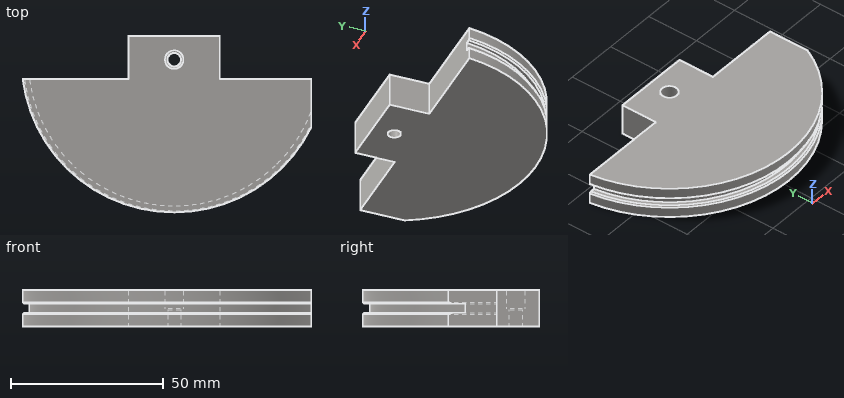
import cadquery as cq
import math

thickness = 12.0
rim_radius = 50.1
overall_length = 94.6
overall_depth = 57.8
tab_width = 30.0
tab_length = 14.0

groove_depth = 2.2
groove_width = 2.9
groove_chamfer = 0.6

wide_diameter = 6.1
narrow_diameter = 4.4
wide_depth = thickness / 2
shoulder_cone_angle = 118.0

tab_end_y = overall_depth - rim_radius
back_y = tab_end_y - tab_length
left_x = -math.sqrt(rim_radius**2 - back_y**2)
right_x = left_x + overall_length
right_corner_y = -math.sqrt(rim_radius**2 - right_x**2)


def make_plate():
    """Disc segment with a flat right end and a rectangular tab at the back."""
    return (
        cq.Workplane("XY")
        .workplane(offset=-thickness / 2)
        .moveTo(left_x, back_y)
        .threePointArc((0, -rim_radius), (right_x, right_corner_y))
        .lineTo(right_x, back_y)
        .lineTo(tab_width / 2, back_y)
        .lineTo(tab_width / 2, tab_end_y)
        .lineTo(-tab_width / 2, tab_end_y)
        .lineTo(-tab_width / 2, back_y)
        .close()
        .extrude(thickness)
    )


def make_groove():
    """Ring with a rectangular section that flares into chamfers at the rim."""
    floor_radius = rim_radius - groove_depth
    chamfer_radius = rim_radius - groove_chamfer
    inner_z = groove_width / 2
    outer_z = inner_z + groove_chamfer
    clear_radius = rim_radius + groove_depth
    return (
        cq.Workplane("XZ")
        .moveTo(floor_radius, -inner_z)
        .lineTo(chamfer_radius, -inner_z)
        .lineTo(rim_radius, -outer_z)
        .lineTo(clear_radius, -outer_z)
        .lineTo(clear_radius, outer_z)
        .lineTo(rim_radius, outer_z)
        .lineTo(chamfer_radius, inner_z)
        .lineTo(floor_radius, inner_z)
        .close()
        .revolve(360, (0, 0, 0), (0, 1, 0))
    )


def make_hole():
    """Revolved stepped hole running the full thickness, wide end up."""
    wide_radius = wide_diameter / 2
    narrow_radius = narrow_diameter / 2
    shoulder_height = (wide_radius - narrow_radius) / math.tan(math.radians(shoulder_cone_angle / 2))
    shoulder_top_z = thickness / 2 - wide_depth
    return (
        cq.Workplane("XZ")
        .moveTo(0, -thickness / 2)
        .lineTo(narrow_radius, -thickness / 2)
        .lineTo(narrow_radius, shoulder_top_z - shoulder_height)
        .lineTo(wide_radius, shoulder_top_z)
        .lineTo(wide_radius, thickness / 2)
        .lineTo(0, thickness / 2)
        .close()
        .revolve(360, (0, 0, 0), (0, 1, 0))
    )


result = make_plate().cut(make_groove()).cut(make_hole())